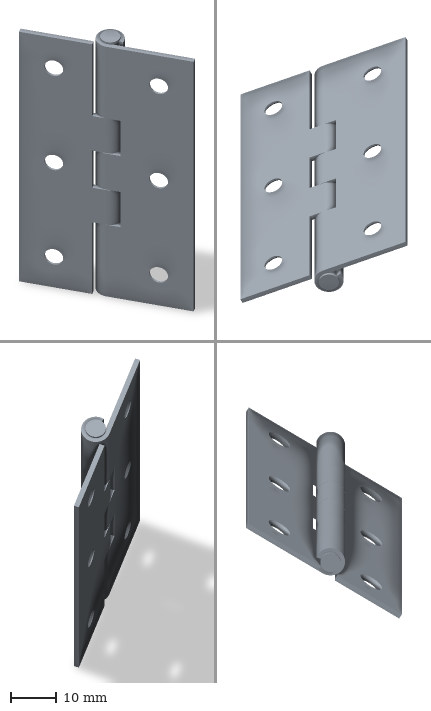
import cadquery as cq
import math

PIN_LENGTH = 71.1
PIN_DIAMETER = 4.0
HEAD_DIAMETER = 4.5

OPEN_WIDTH = 40.0
LEAF_HEIGHT = 70.0
KNUCKLE_DIAMETER = 6.5
KNUCKLE_BORE = 4.1
CURL_END_ANGLE = -14.0
CURL_MIDDLE_ANGLE = 135.0

END_KNUCKLE_LENGTH = 20.1
MIDDLE_KNUCKLE_LENGTH = 10.1
MIDDLE_CLEARANCE = 0.15

HOLE_DIAMETER = 4.3
HOLE_LAND = 0.5
COUNTERSINK_ANGLE = 90.0
HOLE_COLUMN_X = 12.0
HOLE_PITCH = 26.45

outer_radius = KNUCKLE_DIAMETER / 2
bore_radius = KNUCKLE_BORE / 2
thickness = outer_radius - bore_radius
plate_bottom_y = -outer_radius
plate_top_y = plate_bottom_y + thickness
leaf_width = OPEN_WIDTH / 2
half_height = LEAF_HEIGHT / 2
head_height = (PIN_LENGTH - LEAF_HEIGHT) / 2

end_knuckle_z = half_height - END_KNUCKLE_LENGTH
middle_knuckle_z = MIDDLE_KNUCKLE_LENGTH / 2
middle_notch_z = middle_knuckle_z + MIDDLE_CLEARANCE
right_leaf_notches = [
    (-end_knuckle_z, -middle_knuckle_z),
    (middle_knuckle_z, end_knuckle_z),
]
left_leaf_notches = [
    (-half_height, -end_knuckle_z),
    (-middle_notch_z, middle_notch_z),
    (end_knuckle_z, half_height),
]


def polar(radius, degrees):
    angle = math.radians(degrees)
    return radius * math.cos(angle), radius * math.sin(angle)


def leaf_blank():
    """Plate on the +X side whose edge rolls up and over the pin axis, along its full height."""
    return (
        cq.Workplane("XY", origin=(0, 0, -half_height))
        .moveTo(leaf_width, plate_bottom_y)
        .lineTo(0, plate_bottom_y)
        .threePointArc(polar(outer_radius, CURL_MIDDLE_ANGLE), polar(outer_radius, CURL_END_ANGLE))
        .lineTo(*polar(bore_radius, CURL_END_ANGLE))
        .threePointArc(polar(bore_radius, CURL_MIDDLE_ANGLE), (0, plate_top_y))
        .lineTo(leaf_width, plate_top_y)
        .close()
        .extrude(LEAF_HEIGHT)
    )


def knuckle_notch(lower_z, upper_z):
    """Block as wide and deep as a knuckle, clearing room for one of the other leaf."""
    return (
        cq.Workplane("XY", origin=(0, 0, lower_z))
        .rect(KNUCKLE_DIAMETER, KNUCKLE_DIAMETER)
        .extrude(upper_z - lower_z)
    )


def screw_hole(center_z):
    """Straight hole from the flat side, opening into a countersink on the knuckle side."""
    sink_depth = thickness - HOLE_LAND
    hole_radius = HOLE_DIAMETER / 2
    sink_radius = hole_radius + sink_depth * math.tan(math.radians(COUNTERSINK_ANGLE / 2))
    land_top_y = plate_bottom_y + HOLE_LAND
    half_section = (
        cq.Workplane("XY", origin=(HOLE_COLUMN_X, 0, center_z))
        .moveTo(0, plate_bottom_y)
        .lineTo(hole_radius, plate_bottom_y)
        .lineTo(hole_radius, land_top_y)
        .lineTo(sink_radius, plate_top_y)
        .lineTo(0, plate_top_y)
        .close()
    )
    return half_section.revolve(360, (0, 0, 0), (0, 1, 0))


def make_leaf(notches):
    leaf = leaf_blank()
    for lower_z, upper_z in notches:
        leaf = leaf.cut(knuckle_notch(lower_z, upper_z))
    for row in (-1, 0, 1):
        leaf = leaf.cut(screw_hole(row * HOLE_PITCH))
    return leaf


def make_pin():
    """Shank running through the knuckles, with a head resting on each end of the right leaf."""
    pin = cq.Workplane("XY").circle(PIN_DIAMETER / 2).extrude(PIN_LENGTH / 2, both=True)
    for head_base_z in (-PIN_LENGTH / 2, half_height):
        head = (
            cq.Workplane("XY", origin=(0, 0, head_base_z))
            .circle(HEAD_DIAMETER / 2)
            .extrude(head_height)
        )
        pin = pin.union(head)
    return pin


right_leaf = make_leaf(right_leaf_notches)
left_leaf = make_leaf(left_leaf_notches).mirror("YZ")
pin = make_pin()

result = cq.Compound.makeCompound([right_leaf.val(), left_leaf.val(), pin.val()])